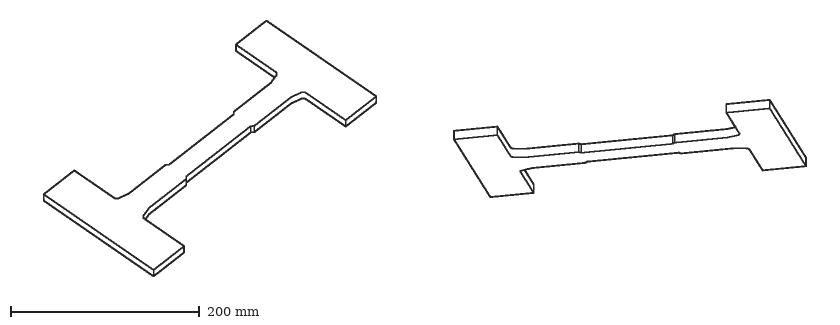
import cadquery as cq
import math

OVERALL_WIDTH = 160.0
OVERALL_LENGTH = 345.0
THICKNESS = 10.0

HEAD_SPACING = 250.0
ROOT_FILLET_RADIUS = 4.0

SHANK_WIDTH = 30.0
SHANK_SPAN = 220.0
TAPER_ANGLE = 15.0

GAUGE_WIDTH = 25.0
GAUGE_LENGTH = 100.0

half_width = OVERALL_WIDTH / 2
half_length = OVERALL_LENGTH / 2
head_y = HEAD_SPACING / 2
shank_x = SHANK_WIDTH / 2
taper_y = SHANK_SPAN / 2
root_x = shank_x + (head_y - taper_y) * math.tan(math.radians(TAPER_ANGLE))
gauge_x = GAUGE_WIDTH / 2
gauge_y = GAUGE_LENGTH / 2
step_y = gauge_y + (shank_x - gauge_x)


def quarter_plate():
    """The +X, +Y quarter of the plate, centred on Z = 0."""
    outline = [
        (0, 0),
        (gauge_x, 0),
        (gauge_x, gauge_y),
        (shank_x, step_y),
        (shank_x, taper_y),
        (root_x, head_y),
        (half_width, head_y),
        (half_width, half_length),
        (0, half_length),
    ]
    plate = cq.Workplane("XY").polyline(outline).close().extrude(THICKNESS / 2, both=True)
    root_edge = cq.selectors.NearestToPointSelector((root_x, head_y, 0))
    return plate.edges("|Z").edges(root_edge).fillet(ROOT_FILLET_RADIUS)


def full_plate():
    """Mirror the quarter across both symmetry planes."""
    quarter = quarter_plate()
    half = quarter.union(quarter.mirror("YZ"))
    return half.union(half.mirror("XZ")).clean()


result = full_plate()